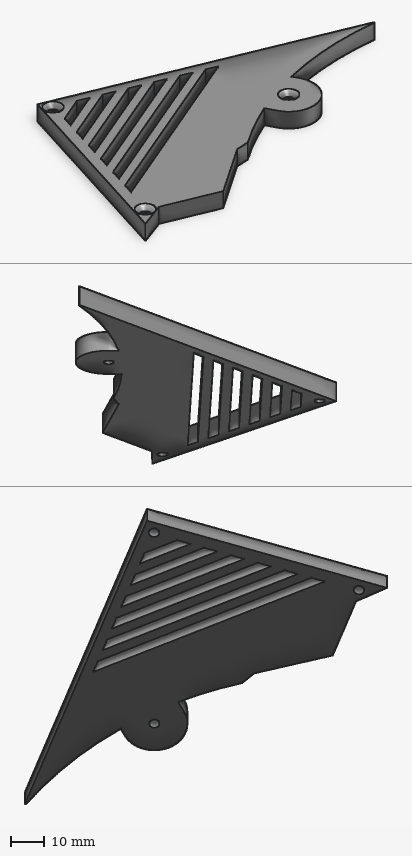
import cadquery as cq
import math

length_x = 76.0
length_y = 111.2
thickness = 6.0
tip_width = 0.3
side_x = 68.9
side_bottom_y = 7.8
side_top_y = 29.0
notch_bottom = (48.8, 43.0)
notch_top = (46.6, 47.6)
arc_middle = (23.0, 69.0)

ear_center = (26.8, 70.4)
ear_radius = 9.9
ear_root_length = 13.3
ear_angle = 45

corner_hole_diameter = 3.1
sink_diameter = 6.5
ear_hole_diameter = 3.0
hole_y = 3.6
screw_holes = [
    ((3.5, hole_y), corner_hole_diameter),
    ((68.3, hole_y), corner_hole_diameter),
    (ear_center, ear_hole_diameter),
]
sink_angle = 90

slot_count = 6
slot_left_x = 3.2
slot_bottom_y = 3.9
slot_opening = 4.2
first_slot_reach = 11.9
last_slot_reach = 54.4
slot_pitch = (last_slot_reach - first_slot_reach) / (slot_count - 1)


def make_plate():
    return (
        cq.Workplane("XY")
        .lineTo(length_x, 0)
        .lineTo(side_x, side_bottom_y)
        .lineTo(side_x, side_top_y)
        .lineTo(*notch_bottom)
        .lineTo(*notch_top)
        .threePointArc(arc_middle, (tip_width, length_y))
        .lineTo(0, length_y)
        .close()
        .extrude(thickness)
    )


def make_ear():
    """Round end whose parallel sides run back into the plate."""
    center_x, center_y = ear_center
    root_offset_x = ear_root_length / 2 * math.cos(math.radians(ear_angle))
    root_offset_y = ear_root_length / 2 * math.sin(math.radians(ear_angle))
    root = (
        cq.Workplane("XY")
        .center(center_x - root_offset_x, center_y - root_offset_y)
        .transformed(rotate=(0, 0, ear_angle))
        .rect(ear_root_length, 2 * ear_radius)
        .extrude(thickness)
    )
    return cq.Workplane("XY").center(*ear_center).circle(ear_radius).extrude(thickness).union(root)


def make_slot(reach):
    """45 degree slot whose outer edge spans `reach` along both frame lines."""
    inner_reach = reach - slot_opening
    return (
        cq.Workplane("XY", origin=(slot_left_x, slot_bottom_y, 0))
        .moveTo(inner_reach, 0)
        .lineTo(reach, 0)
        .lineTo(0, reach)
        .lineTo(0, inner_reach)
        .close()
        .extrude(thickness)
    )


result = make_plate().union(make_ear())

for index in range(slot_count):
    result = result.cut(make_slot(first_slot_reach + index * slot_pitch))

top_plane = cq.Workplane("XY", origin=(0, 0, thickness))
for center, hole_diameter in screw_holes:
    result = (
        result.copyWorkplane(top_plane)
        .pushPoints([center])
        .cskHole(hole_diameter, sink_diameter, sink_angle)
    )